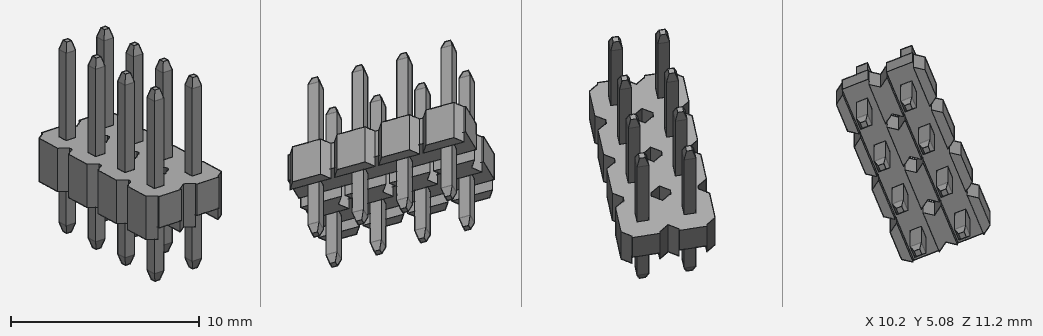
import cadquery as cq

PITCH = 2.54
COLUMNS = 4
ROWS = 2

HOUSING_HEIGHT = 2.54
CELL_FLAT_LENGTH = 1.6
CELL_BODY_LENGTH = 2.34
WEB_WIDTH = 1.5
GROOVE_DEPTH = 0.7

PIN_WIDTH = 0.64
PIN_LENGTH = 11.2
PIN_BELOW_HOUSING = 3.0
TIP_LENGTH = 0.55
TIP_WIDTH = PIN_WIDTH / 2

HOUSING_LENGTH = COLUMNS * PITCH


def centered_positions(count):
    """Coordinates of `count` items at the pin pitch, centred on zero."""
    return [(index - (count - 1) / 2) * PITCH for index in range(count)]


def make_cell(x, y):
    """Chamfered block that surrounds one pin."""
    half_flat = CELL_FLAT_LENGTH / 2
    half_body = CELL_BODY_LENGTH / 2
    half_pitch = PITCH / 2
    half_web = WEB_WIDTH / 2
    outline = [
        (half_flat, half_pitch),
        (half_body, half_web),
        (half_body, -half_web),
        (half_flat, -half_pitch),
        (-half_flat, -half_pitch),
        (-half_body, -half_web),
        (-half_body, half_web),
        (-half_flat, half_pitch),
    ]
    cell = cq.Workplane("XY").polyline(outline).close().extrude(HOUSING_HEIGHT)
    return cell.translate((x, y, 0))


def make_row_bar(y, bottom, top):
    """Full-length bar of web width along one row."""
    bar = cq.Workplane("XY").box(HOUSING_LENGTH, WEB_WIDTH, top - bottom, centered=(True, True, False))
    return bar.translate((0, y, bottom))


def make_tip(base_z, direction):
    """Tapered pin end that starts at base_z and points along +Z (1) or -Z (-1)."""
    return (
        cq.Workplane("XY", origin=(0, 0, base_z))
        .rect(PIN_WIDTH, PIN_WIDTH)
        .workplane(offset=direction * TIP_LENGTH)
        .rect(TIP_WIDTH, TIP_WIDTH)
        .loft(ruled=True)
    )


def make_pin():
    """Square pin on the Z axis with a tapered tip at each end."""
    shank_length = PIN_LENGTH - 2 * TIP_LENGTH
    shank_bottom = TIP_LENGTH - PIN_BELOW_HOUSING
    shank = (
        cq.Workplane("XY", origin=(0, 0, shank_bottom))
        .rect(PIN_WIDTH, PIN_WIDTH)
        .extrude(shank_length)
    )
    upper_tip = make_tip(shank_bottom + shank_length, 1)
    lower_tip = make_tip(shank_bottom, -1)
    return shank.union(upper_tip).union(lower_tip)


def make_housing():
    """Cells joined by the row webs, with a channel cut under each row."""
    housing = cq.Workplane("XY")
    for y in centered_positions(ROWS):
        housing = housing.add(make_row_bar(y, GROOVE_DEPTH, HOUSING_HEIGHT))
        for x in centered_positions(COLUMNS):
            housing = housing.add(make_cell(x, y))
    housing = housing.combine()
    for y in centered_positions(ROWS):
        housing = housing.cut(make_row_bar(y, 0, GROOVE_DEPTH))
    return housing


result = make_housing()
pin = make_pin()
for pin_y in centered_positions(ROWS):
    for pin_x in centered_positions(COLUMNS):
        result = result.union(pin.translate((pin_x, pin_y, 0)))